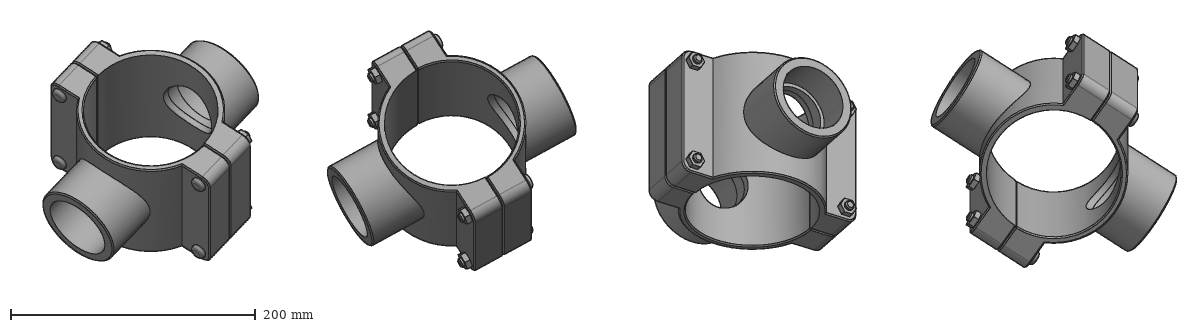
import cadquery as cq
import math


height = 116.0
bore_radius = 54.9
sleeve_radius = 60.5

flange_span = 165.0
flange_thickness = 27.5
flange_corner_radius = 8.3
edge_chamfer = 1.2

branch_reach = 97
branch_radius = 73.7 / 2
socket_radius = 56.6 / 2
throat_radius = 50.0 / 2
socket_depth = 30.0

bolt_spacing_x = 144.1
bolt_spacing_z = 95.0
head_radius = 13.0 / 2
head_height = 4.0
head_rounding = 3.0
nut_flats = 13.0
nut_corners = nut_flats / math.cos(math.pi / 6)
nut_height = 4.8
stud_radius = 8.0 / 2
stud_projection = 3.1
stud_chamfer = 1.2

FRONT = -1
BACK = 1


def facing(side, distance=0):
    """Workplane parallel to the joint at a distance from it, looking away from it."""
    return cq.Workplane(cq.Plane((0, side * distance, 0), (1, 0, 0), (0, side, 0)))


def upright_cylinder(radius):
    """Cylinder on the Z axis over the full height of the housing."""
    return cq.Workplane("XY", origin=(0, 0, -height / 2)).circle(radius).extrude(height)


def chamfer_half(half, side):
    """Chamfer the end, flange and joint edges, but not the corners between flange and sleeve."""
    joint_edges = "<Y" if side == BACK else ">Y"
    return half.faces("|Y or |Z").edges(f"(not |Z) or {joint_edges}").chamfer(edge_chamfer)


def half_blank(side):
    """Solid half of the sleeve with its two flanges, before boring."""
    flange = facing(side).rect(flange_span, height).extrude(flange_thickness)
    flange = flange.edges("|Y").fillet(flange_corner_radius)
    half_space = facing(side).rect(flange_span, height).extrude(sleeve_radius)
    return flange.union(upright_cylinder(sleeve_radius).intersect(half_space))


def throats():
    """Cylinder along Y that opens both branches into the bore."""
    return facing(BACK).circle(throat_radius).extrude(branch_reach, both=True)


def at_bolts(workplane):
    """Put the four bolt axes on a workplane."""
    return workplane.rarray(bolt_spacing_x, bolt_spacing_z, 2, 2)


def bolt_heads():
    """Round heads on the front flanges."""
    heads = at_bolts(facing(FRONT, flange_thickness)).circle(head_radius).extrude(head_height)
    return heads.faces("<Y").edges().fillet(head_rounding)


def nuts_with_studs():
    """Hexagon nuts on the back flanges, with the bolt ends standing out of them."""
    nuts = at_bolts(facing(BACK, flange_thickness)).polygon(6, nut_corners).extrude(nut_height)
    studs = at_bolts(facing(BACK, flange_thickness)).circle(stud_radius)
    studs = studs.extrude(nut_height + stud_projection).faces(">Y").chamfer(stud_chamfer)
    return nuts.union(studs)


def make_housing():
    """Both clamp halves with their fasteners; the joint shows as a V groove.

    Only the front half has chamfered bore edges, so its bore is cut before chamfering.
    """
    bore = upright_cylinder(bore_radius)
    front = chamfer_half(half_blank(FRONT).cut(bore), FRONT)
    back = chamfer_half(half_blank(BACK), BACK).cut(bore)
    clamp = front.union(back).cut(throats())
    return clamp.union(bolt_heads()).union(nuts_with_studs())


def make_branch(side):
    """Branch pipe saddled on the sleeve, with a stepped bore."""
    branch = facing(side).circle(branch_radius).extrude(branch_reach)
    branch = branch.faces(">Y" if side == BACK else "<Y").edges().chamfer(edge_chamfer)
    socket = facing(side, branch_reach - socket_depth).circle(socket_radius).extrude(socket_depth)
    return branch.cut(upright_cylinder(sleeve_radius)).cut(throats()).cut(socket)


housing = make_housing()
branches = [make_branch(side) for side in (FRONT, BACK)]
result = cq.Compound.makeCompound([housing.val(), *[branch.val() for branch in branches]])